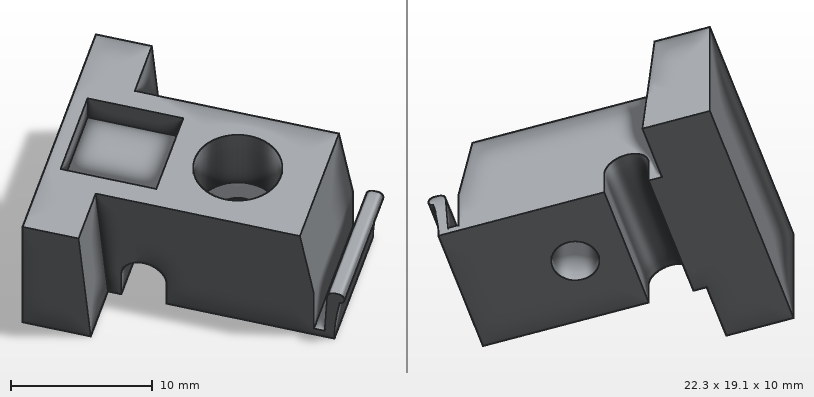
import cadquery as cq
import math

length = 22.32
head_width = 19.06
height = 10.0

head_top_length = 4.1
head_bottom_length = 5.0

stem_width = 10.15
stem_top_end = 19.06
stem_end = 20.09
stem_slope_start = 4.25

clip_gap_floor = 0.62
clip_inner_root = 20.87
clip_outer_root = 21.58
clip_inner_tip = 21.05
clip_bead_radius = 0.47
clip_bead_z = 4.29
clip_bead_x = length - clip_bead_radius
clip_top = clip_bead_z + clip_bead_radius
clip_shoulder_radius = 0.55
clip_shoulder_x = clip_inner_tip + clip_shoulder_radius
clip_shoulder_z = clip_top - clip_shoulder_radius
clip_neck_x = 21.96
clip_neck_drop = math.sqrt(clip_bead_radius**2 - (clip_neck_x - clip_bead_x)**2)
clip_neck = (clip_neck_x, clip_bead_z - clip_neck_drop)
clip_outer_middle = (21.7, 2.08)

slot_width = 3.3
slot_center_x = 7.63
slot_height = 3.75

pocket_side = 7.0
pocket_start_x = 1.1
pocket_depth = 2.0

hole_x = 13.08
hole_diameter = 3.4
counterbore_diameter = 6.3
counterbore_depth = 5.0


def extrude_across(profile, width):
    """Extrude an XZ profile symmetrically about the middle plane Y = 0."""
    return profile.extrude(width / 2, both=True)


def make_head():
    profile = cq.Workplane("XZ").polyline([
        (0, 0),
        (head_bottom_length, 0),
        (head_top_length, height),
        (0, height),
    ]).close()
    return extrude_across(profile, head_width)


def make_stem_and_clip():
    shoulder_offset = clip_shoulder_radius * math.sqrt(0.5)
    shoulder_middle = (clip_shoulder_x - shoulder_offset, clip_shoulder_z + shoulder_offset)
    profile = (
        cq.Workplane("XZ")
        .moveTo(0, 0)
        .lineTo(clip_outer_root, 0)
        .lineTo(clip_outer_root, clip_gap_floor)
        .threePointArc(clip_outer_middle, clip_neck)
        .threePointArc((length, clip_bead_z), (clip_bead_x, clip_top))
        .lineTo(clip_shoulder_x, clip_top)
        .threePointArc(shoulder_middle, (clip_inner_tip, clip_shoulder_z))
        .lineTo(clip_inner_root, clip_gap_floor)
        .lineTo(stem_end, clip_gap_floor)
        .lineTo(stem_end, stem_slope_start)
        .lineTo(stem_top_end, height)
        .lineTo(0, height)
        .close()
    )
    return extrude_across(profile, stem_width)


def make_slot():
    radius = slot_width / 2
    left = slot_center_x - radius
    right = slot_center_x + radius
    profile = (
        cq.Workplane("XZ")
        .moveTo(left, 0)
        .lineTo(right, 0)
        .lineTo(right, slot_height - radius)
        .threePointArc((slot_center_x, slot_height), (left, slot_height - radius))
        .close()
    )
    return extrude_across(profile, stem_width)


def make_pocket():
    return (
        cq.Workplane("XY", origin=(pocket_start_x + pocket_side / 2, 0, height))
        .rect(pocket_side, pocket_side)
        .extrude(-pocket_depth)
    )


def make_hole():
    top = cq.Workplane("XY", origin=(hole_x, 0, height))
    through_hole = top.circle(hole_diameter / 2).extrude(-height)
    counterbore = top.circle(counterbore_diameter / 2).extrude(-counterbore_depth)
    return through_hole.union(counterbore)


result = (
    make_head()
    .union(make_stem_and_clip())
    .cut(make_slot())
    .cut(make_pocket())
    .cut(make_hole())
)